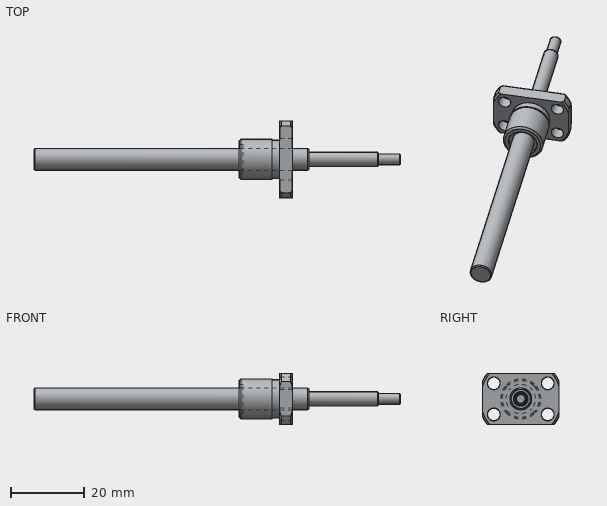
import cadquery as cq
import math

SCREW_LENGTH = 100.0
THREAD_DIA = 6.0
JOURNAL_DIA = 4.0
TIP_DIA = 3.0
THREAD_END = 75.1
JOURNAL_END = 94.0
SHAFT_CHAMFER = 0.3
SHOULDER_CHAMFER = 0.4

NUT_LENGTH = 14.5
NUT_END = 70.5
NUT_DIA = 11.0
NUT_CHAMFER = 0.5
NUT_BORE_DIA = THREAD_DIA
NECK_DIA = 10.5
NECK_LENGTH = 2.0
RECESS_DIA = 8.0
RECESS_DEPTH = 1.0

FLANGE_THICKNESS = 3.5
FLANGE_DISC_DIA = 23.0
FLANGE_WIDTH = 21.0
FLANGE_HEIGHT = 14.0
FLANGE_CHAMFER = 0.5
MOUNT_HOLE_DIA = 3.4
MOUNT_CIRCLE_DIA = 17.0
MOUNT_HOLE_ANGLE = math.radians(30)

NUT_START = NUT_END - NUT_LENGTH
FLANGE_START = NUT_END - FLANGE_THICKNESS
NECK_START = FLANGE_START - NECK_LENGTH
MOUNT_HOLE_PITCH_Y = MOUNT_CIRCLE_DIA * math.cos(MOUNT_HOLE_ANGLE)
MOUNT_HOLE_PITCH_Z = MOUNT_CIRCLE_DIA * math.sin(MOUNT_HOLE_ANGLE)


def cylinder(start, end, diameter):
    """Solid cylinder on the X axis between two X positions."""
    return cq.Workplane("YZ", origin=(start, 0, 0)).circle(diameter / 2).extrude(end - start)


def make_screw():
    """Stepped shaft, chamfered at its plain end and at the +X end of every step."""
    thread = cylinder(0, THREAD_END, THREAD_DIA).faces("<X").chamfer(SHAFT_CHAMFER)
    thread = thread.faces(">X").chamfer(SHOULDER_CHAMFER)
    journal = cylinder(THREAD_END, JOURNAL_END, JOURNAL_DIA).faces(">X").chamfer(SHAFT_CHAMFER)
    tip = cylinder(JOURNAL_END, SCREW_LENGTH, TIP_DIA).faces(">X").chamfer(SHAFT_CHAMFER)
    return thread.union(journal).union(tip)


def make_flange():
    """Chamfered disc cut to a rectangle, leaving conical bevels on its round corners."""
    disc = cylinder(FLANGE_START, NUT_END, FLANGE_DISC_DIA).edges().chamfer(FLANGE_CHAMFER)
    blank = (
        cq.Workplane("YZ", origin=(FLANGE_START, 0, 0))
        .rect(FLANGE_WIDTH, FLANGE_HEIGHT)
        .extrude(FLANGE_THICKNESS)
    )
    mount_holes = (
        cq.Workplane("YZ", origin=(FLANGE_START, 0, 0))
        .rect(MOUNT_HOLE_PITCH_Y, MOUNT_HOLE_PITCH_Z, forConstruction=True)
        .vertices()
        .circle(MOUNT_HOLE_DIA / 2)
        .extrude(FLANGE_THICKNESS)
    )
    return disc.intersect(blank).cut(mount_holes)


def make_nut():
    """Round nut body, relieved neck and flange, bored through for the screw and recessed at its -X face."""
    barrel = cylinder(NUT_START, NECK_START, NUT_DIA).faces("<X").chamfer(NUT_CHAMFER)
    neck = cylinder(NECK_START, FLANGE_START, NECK_DIA)
    bore = cylinder(NUT_START, NUT_END, NUT_BORE_DIA)
    recess = cylinder(NUT_START, NUT_START + RECESS_DEPTH, RECESS_DIA)
    return barrel.union(neck).union(make_flange()).cut(bore).cut(recess)


screw = make_screw()
nut = make_nut()

result = cq.Compound.makeCompound([screw.val(), nut.val()])